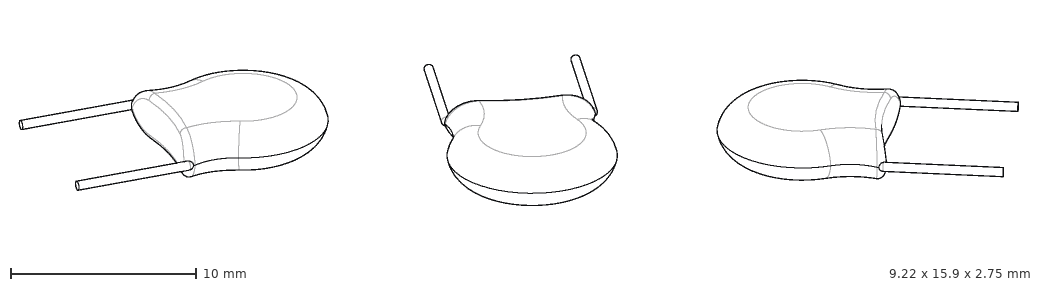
import cadquery as cq
import math

overall_length = 15.92

thickness = 2.75
half_thickness = thickness / 2
head_diameter = 9.22
head_radius = head_diameter / 2
rim_width = 1.69

flank_radius = 3.1
flank_tangent_angle = math.radians(25.3)
flank_distance = head_radius + flank_radius
flank_x = flank_distance * math.cos(flank_tangent_angle)
flank_y = -flank_distance * math.sin(flank_tangent_angle)

underside_peak_y = -4.36
underside_radius = 11.78
underside_fillet = 0.35
underside_edge_x = 1.11
underside_edge_y = underside_peak_y - (underside_radius - math.sqrt(underside_radius**2 - underside_edge_x**2))
neck_blank_y = -6.37

lead_radius = 0.25
lead_spacing = 8.0
lead_shoulder_y = -4.8
lead_end_y = head_radius - overall_length

rim_arc_radius = (rim_width**2 + half_thickness**2) / thickness
half_rim_angle = math.atan2(half_thickness, rim_width)
rim_mid_inset = rim_width - rim_arc_radius * math.sin(half_rim_angle)
rim_mid_z = half_thickness - rim_arc_radius * (1 - math.cos(half_rim_angle))


def revolved_rim(edge_radius, inward):
    """Solid of revolution about Z bounded by the rim arcs; inward is +1 for the head, -1 for a flank."""
    face_radius = edge_radius - inward * rim_width
    mid_radius = edge_radius - inward * rim_mid_inset
    return (
        cq.Workplane("XZ")
        .moveTo(0, -half_thickness)
        .lineTo(face_radius, -half_thickness)
        .threePointArc((mid_radius, -rim_mid_z), (edge_radius, 0))
        .threePointArc((mid_radius, rim_mid_z), (face_radius, half_thickness))
        .lineTo(0, half_thickness)
        .close()
        .revolve(360, (0, 0, 0), (0, 1, 0))
    )


def make_neck():
    """Block below the head, hollowed on both sides by the flanks."""
    neck = (
        cq.Workplane("XY")
        .polyline([
            (0, 0),
            (-flank_x, flank_y),
            (-flank_x, neck_blank_y),
            (flank_x, neck_blank_y),
            (flank_x, flank_y),
        ])
        .close()
        .extrude(half_thickness, both=True)
    )
    flank = revolved_rim(flank_radius, -1)
    for side in (-1, 1):
        neck = neck.cut(flank.translate((side * flank_x, flank_y, 0)))
    return neck


def make_lead(side):
    """Straight round wire along Y, domed at its upper end."""
    return (
        cq.Workplane("XY")
        .moveTo(0, lead_end_y)
        .lineTo(lead_radius, lead_end_y)
        .lineTo(lead_radius, lead_shoulder_y)
        .radiusArc((0, lead_shoulder_y + lead_radius), -lead_radius)
        .close()
        .revolve(360, (0, 0, 0), (0, 1, 0))
        .translate((side * lead_spacing / 2, 0, 0))
    )


def make_coating(leads):
    """Head and neck with the concave underside and the seats for the leads."""
    underside_cutter = (
        cq.Workplane("XY")
        .center(0, underside_peak_y - underside_radius)
        .circle(underside_radius)
        .extrude(half_thickness, both=True)
    )
    quarter_space = cq.Workplane("XY").box(
        overall_length, 2 * overall_length, overall_length, centered=(False, True, False)
    )
    coating = revolved_rim(head_radius, 1).union(make_neck()).cut(underside_cutter)
    quarter = coating.intersect(quarter_space)
    edge_point = (underside_edge_x, underside_edge_y, half_thickness)
    quarter = quarter.edges(cq.NearestToPointSelector(edge_point)).fillet(underside_fillet)
    half = quarter.union(quarter.mirror("XY"))
    coating = half.union(half.mirror("YZ"))
    for lead in leads:
        coating = coating.cut(lead)
    return coating


leads = [make_lead(side) for side in (-1, 1)]
coating = make_coating(leads)

result = cq.Compound.makeCompound([coating.val(), *[lead.val() for lead in leads]])